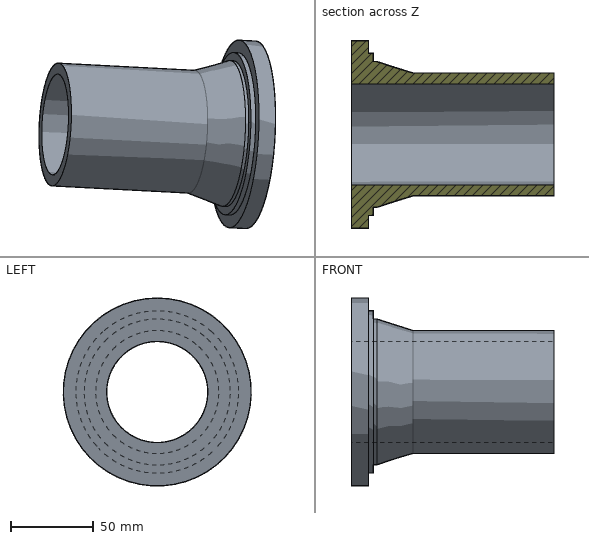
import cadquery as cq

total_length = 123.5
bore_diameter = 61.4
tube_diameter = 75.0

flange_diameter = 114.5
flange_thickness = 10.5

collar_diameter = 99.0
collar_thickness = 3.0

shoulder_diameter = 89.0
shoulder_thickness = 2.0

taper_length = 22.0

collar_start = flange_thickness
shoulder_start = collar_start + collar_thickness
taper_start = shoulder_start + shoulder_thickness
taper_end = taper_start + taper_length


def make_body():
    """Revolve the half profile between the bore and the outside about the X axis."""
    bore_radius = bore_diameter / 2
    flange_radius = flange_diameter / 2
    collar_radius = collar_diameter / 2
    shoulder_radius = shoulder_diameter / 2
    tube_radius = tube_diameter / 2

    profile = (
        cq.Workplane("XZ")
        .moveTo(0, bore_radius)
        .lineTo(0, flange_radius)
        .lineTo(collar_start, flange_radius)
        .lineTo(collar_start, collar_radius)
        .lineTo(shoulder_start, collar_radius)
        .lineTo(shoulder_start, shoulder_radius)
        .lineTo(taper_start, shoulder_radius)
        .lineTo(taper_end, tube_radius)
        .lineTo(total_length, tube_radius)
        .lineTo(total_length, bore_radius)
        .close()
    )
    return profile.revolve(360, (0, 0, 0), (1, 0, 0))


result = make_body()